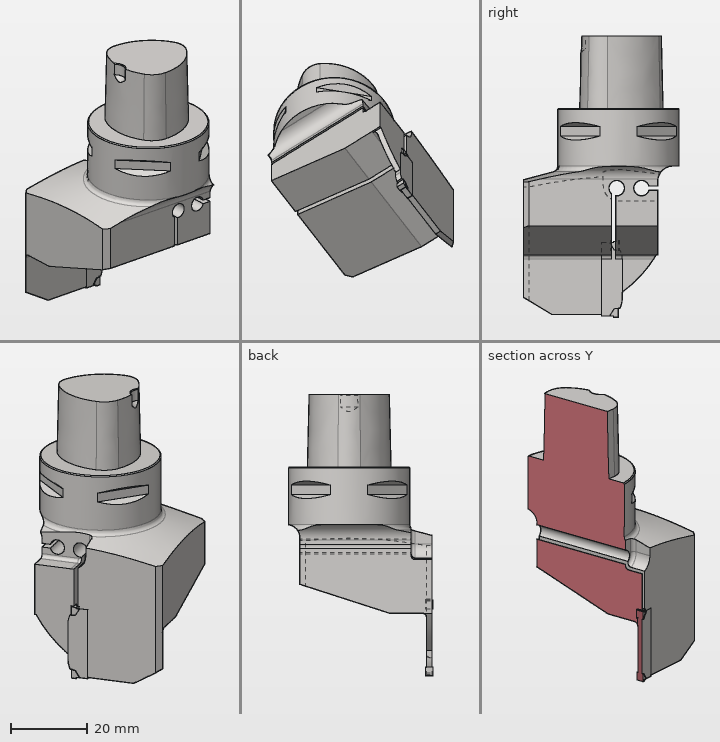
import cadquery as cq
import math


shank_length = 19.0
shank_width = 22.05
lobe_center_distance = 5.8
shank_inset = 0.45
lobe_angles = (90, 210, 330)

notch_radius = 2.95
notch_axis_y = -11.6
notch_depth = 3.25
notch_chamfer = 0.2

flange_diameter = 32.0
flange_radius = flange_diameter / 2
flange_height = 15.25
flange_chamfer = 0.3

gripper_angles = (45, 135, 225, 315)
gripper_floor_distance = 14.2
gripper_center_z = -6.1
gripper_floor_height = 2.45
gripper_mouth_height = 4.6

shoulder_slope = math.radians(15)
shoulder_fillet = 1.5
shoulder_reach = 35.5

left_x = -21.8
right_x = 13.0
front_y = -25.0
back_y = 10.35
block_bottom_z = -38.55
underside_bend_x = -10.6
underside_right_z = -30.9
corner_chamfer = 1.5
right_flare_radius = 3.3
back_flare_radius = 4.0

blade_thickness = 1.55
blade_right_x = left_x + blade_thickness
blade_bottom_z = -54.3
blade_top_z = -29.6
blade_slope_start_y = -17.5
blade_slope_end_z = -49.7
blade_root_fillet = 1.0
jaw_corner_z = -37.9
jaw_middle = (5.5, -44.5)
jaw_end = (1.0, -48.4)

step_x = -16.3
step_floor_z = -24.4
step_front_y = -4.0
step_corner_radius = 4.15
step_fillet = 1.0

hole_diameter = 4.0
hole_z = -21.0
back_hole_y = 6.1
jaw_hole_y = -0.45
slot_width = 1.0
jaw_slot_y = -1.25

insert_center_z = -45.0
insert_half_length = 10.0
insert_body_half_length = 9.7
insert_front_y = -4.5
insert_crown_y = 1.0
crown_half_length = 5.2
crown_end_y = 0.45
crown_bend = (0.8, 6.6)
rake_half_length = 7.6
rake_y = 0.0
edge_relief_y = -1.3
cutting_width = 2.0
cutting_left_x = -22.05
tip_flank = ((-2.2, 9.55), (-1.1, 7.8))

relief_gap = 0.2
relief_front_y = -2.1

clear = 74.0


def polar(distance, degrees):
    """Point in the XY plane at a distance and direction from the origin."""
    angle = math.radians(degrees)
    return cq.Vector(distance * math.cos(angle), distance * math.sin(angle))


def shank_outline(inset, z):
    """Closed wire of three lobe arcs and three flank arcs, each flank centered on the far lobe."""
    lobe_spacing = lobe_center_distance * math.sqrt(3)
    small = (shank_width - lobe_spacing) / 2 - inset
    large = small + lobe_spacing
    edges = []
    for angle in lobe_angles:
        lobe = polar(lobe_center_distance, angle)
        start, middle, end = [lobe + polar(small, angle + turn) for turn in (-30, 0, 30)]
        edges.append(cq.Edge.makeThreePointArc(start, middle, end))

        far_lobe = polar(lobe_center_distance, angle + 240)
        start, middle, end = [far_lobe + polar(large, angle + turn) for turn in (30, 60, 90)]
        edges.append(cq.Edge.makeThreePointArc(start, middle, end))
    return cq.Wire.assembleEdges(edges).translate(cq.Vector(0, 0, z))


def make_shank():
    base = shank_outline(0, 0)
    top = shank_outline(shank_inset, shank_length)
    shank = cq.Workplane(obj=cq.Solid.makeLoft([base, top], True))

    floor_z = shank_length - notch_depth
    notch_profile = [
        (0, floor_z - notch_radius),
        (notch_radius, floor_z),
        (notch_radius, shank_length - notch_chamfer),
        (notch_radius + notch_chamfer, shank_length),
        (0, shank_length),
    ]
    notch = (
        cq.Workplane("XZ")
        .polyline(notch_profile)
        .close()
        .revolve(360, (0, 0), (0, 1))
        .translate((0, notch_axis_y, 0))
    )
    return shank.cut(notch)


def make_flange():
    flange = (
        cq.Workplane("XY")
        .circle(flange_radius)
        .extrude(-flange_height)
        .faces(">Z")
        .chamfer(flange_chamfer)
    )
    half_floor = gripper_floor_height / 2
    half_mouth = gripper_mouth_height / 2
    slot = (
        cq.Workplane("XZ")
        .polyline([
            (gripper_floor_distance, gripper_center_z - half_floor),
            (flange_radius, gripper_center_z - half_mouth),
            (flange_radius, gripper_center_z + half_mouth),
            (gripper_floor_distance, gripper_center_z + half_floor),
        ])
        .close()
        .extrude(flange_radius, both=True)
    )
    for angle in gripper_angles:
        flange = flange.cut(slot.rotate((0, 0, 0), (0, 0, 1), angle))
    return flange


def make_shoulder_envelope():
    """Solid of revolution that bounds the head from above: a fillet under the flange, then a cone."""
    fillet_center_r = flange_radius + shoulder_fillet
    fillet_end_angle = math.pi / 2 - shoulder_slope
    middle_angle = fillet_end_angle / 2
    fillet_middle = (
        fillet_center_r - shoulder_fillet * math.cos(middle_angle),
        -flange_height - shoulder_fillet * math.sin(middle_angle),
    )
    fillet_end = (
        fillet_center_r - shoulder_fillet * math.cos(fillet_end_angle),
        -flange_height - shoulder_fillet * math.sin(fillet_end_angle),
    )
    rim_z = fillet_end[1] - (shoulder_reach - fillet_end[0]) * math.tan(shoulder_slope)
    return (
        cq.Workplane("XZ")
        .moveTo(0, -flange_height)
        .lineTo(flange_radius, -flange_height)
        .threePointArc(fillet_middle, fillet_end)
        .lineTo(shoulder_reach, rim_z)
        .lineTo(shoulder_reach, -clear)
        .lineTo(0, -clear)
        .close()
        .revolve(360, (0, 0), (0, 1))
    )


def flared_side(plane, near, far, radius, bottom_z, depth):
    """Slab from near to far whose far side flares outward by a quarter circle at the top."""
    flare_top = (far + radius, -flange_height)
    arc_middle = (
        flare_top[0] - radius * math.cos(math.pi / 4),
        flare_top[1] - radius * (1 - math.sin(math.pi / 4)),
    )
    return (
        cq.Workplane(plane)
        .moveTo(near, bottom_z)
        .lineTo(far, bottom_z)
        .lineTo(far, -flange_height - radius)
        .threePointArc(arc_middle, flare_top)
        .lineTo(near, -flange_height)
        .close()
        .extrude(depth, both=True)
    )


def chamfer_cutter(x, side):
    """Prism that bevels the vertical front corner at x; side is the direction out of the block."""
    return (
        cq.Workplane("XY", origin=(x, front_y, 0))
        .polyline([(0, 0), (-side * corner_chamfer, 0), (0, corner_chamfer)])
        .close()
        .extrude(-clear)
    )


def make_block():
    across = flared_side("XZ", left_x, right_x, right_flare_radius, block_bottom_z, clear)
    along = flared_side("YZ", front_y, back_y, back_flare_radius, block_bottom_z, clear)
    underside_cut = (
        cq.Workplane("XZ")
        .polyline([
            (underside_bend_x, block_bottom_z),
            (right_x, underside_right_z),
            (right_x, block_bottom_z),
        ])
        .close()
        .extrude(clear, both=True)
    )
    return across.intersect(along).intersect(make_shoulder_envelope()).cut(underside_cut)


def make_blade():
    profile = (
        cq.Workplane("YZ")
        .moveTo(back_y, blade_top_z)
        .lineTo(back_y, jaw_corner_z)
        .threePointArc(jaw_middle, jaw_end)
        .lineTo(insert_front_y, jaw_end[1])
        .lineTo(insert_front_y, blade_bottom_z)
        .lineTo(blade_slope_start_y, blade_bottom_z)
        .lineTo(front_y, blade_slope_end_z)
        .lineTo(front_y, blade_top_z)
        .close()
    )
    root_width = blade_thickness + blade_root_fillet
    blade = profile.extrude(root_width).translate((left_x, 0, 0))

    fillet_end_z = block_bottom_z - blade_root_fillet
    beside_blade = (
        cq.Workplane("XZ")
        .moveTo(blade_right_x, -clear)
        .lineTo(blade_right_x, fillet_end_z)
        .radiusArc((blade_right_x + blade_root_fillet, block_bottom_z), blade_root_fillet)
        .lineTo(blade_right_x + blade_root_fillet, -clear)
        .close()
        .extrude(clear, both=True)
    )
    return blade.cut(beside_blade)


def step_cutter():
    """Box that removes the upper left side of the head, rounded along its lower edges."""
    width = step_x - left_x
    depth = back_y + back_flare_radius - step_front_y
    height = -flange_height - step_floor_z
    box = (
        cq.Workplane("XY", origin=(left_x, step_front_y, step_floor_z))
        .box(width, depth, height, centered=False)
    )
    rounded = box.edges("|X and <Y and <Z").fillet(step_corner_radius)
    inner_wall_edges = rounded.faces(">X").edges("not(>Z or >Y)")
    return inner_wall_edges.fillet(step_fillet)


def slot_along_x(y_start, y_end, z_start, z_end):
    return (
        cq.Workplane("YZ")
        .center((y_start + y_end) / 2, (z_start + z_end) / 2)
        .rect(y_end - y_start, z_end - z_start)
        .extrude(clear, both=True)
    )


def clamping_cutter():
    """Two holes, one slotted to the back face and the other slotted down to the insert."""
    holes = (
        cq.Workplane("YZ")
        .pushPoints([(back_hole_y, hole_z), (jaw_hole_y, hole_z)])
        .circle(hole_diameter / 2)
        .extrude(clear, both=True)
    )
    half = slot_width / 2
    back_slot = slot_along_x(back_hole_y, clear, hole_z - half, hole_z + half)
    jaw_slot = slot_along_x(jaw_slot_y - half, jaw_slot_y + half, insert_center_z, hole_z)
    return holes.union(back_slot).union(jaw_slot)


def make_insert():
    """Both ends are alike, so one half is built and mirrored about its middle."""
    body = (
        cq.Workplane("YZ")
        .moveTo(insert_front_y, 0)
        .lineTo(insert_crown_y, 0)
        .lineTo(insert_crown_y, crown_half_length)
        .threePointArc(crown_bend, (crown_end_y, rake_half_length))
        .lineTo(rake_y, rake_half_length)
        .lineTo(rake_y, insert_body_half_length)
        .lineTo(insert_front_y, insert_body_half_length)
        .close()
        .extrude(blade_thickness)
        .translate((left_x, 0, 0))
    )
    tip = (
        cq.Workplane("YZ")
        .polyline([
            (rake_y, rake_half_length),
            (rake_y, insert_half_length),
            (edge_relief_y, insert_half_length),
            (edge_relief_y, insert_body_half_length),
            *tip_flank,
        ])
        .close()
        .extrude(cutting_width)
        .translate((cutting_left_x, 0, 0))
    )
    half = body.union(tip)
    return half.union(half.mirror("XY")).clean().translate((0, 0, insert_center_z))


def tip_relief_cutter():
    width = cutting_width
    depth = rake_y + relief_gap - relief_front_y
    height = insert_half_length + relief_gap - rake_half_length
    corner = (cutting_left_x, relief_front_y, insert_center_z + rake_half_length)
    return cq.Workplane("XY", origin=corner).box(width, depth, height, centered=False)


insert = make_insert()

head = make_block().union(make_blade())
head = head.cut(chamfer_cutter(left_x, -1)).cut(chamfer_cutter(right_x, 1))
holder = make_shank().union(make_flange()).union(head)
holder = holder.cut(step_cutter()).cut(clamping_cutter())
holder = holder.cut(insert).cut(tip_relief_cutter())

result = cq.Compound.makeCompound([holder.val(), insert.val()])